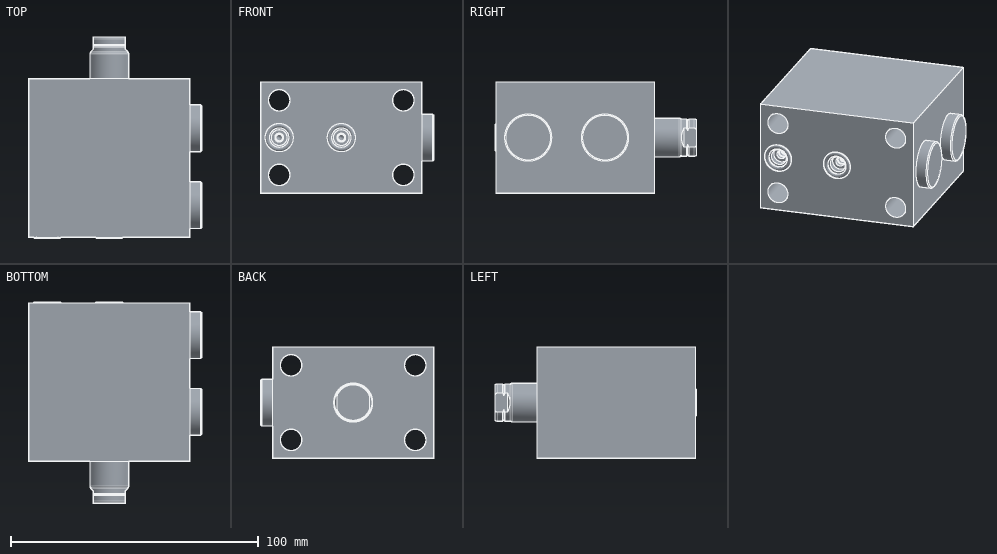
import cadquery as cq
import math

block_width = 65.0
block_depth = 64.0
block_height = 45.0

bolt_hole_diameter = 8.5
bolt_hole_inset = 7.5

port_xs = (bolt_hole_inset, block_width / 2)
seal_seat_radius = 5.7
ring_tube_radius = 0.9
ring_height = 0.4
ring_embedding = 0.1
seal_seat_depth = 2 * ring_tube_radius - ring_height - ring_embedding
counterbore_radius = 3.2
counterbore_depth = 4.2
drill_radii = (1.8, 1.55, 1.3)
drill_step_length = 2.0
drill_point_angle = 118.0

cap_ys = (13.0, 44.0)
cap_radius = 9.5
cap_length = 4.8
cap_chamfer = 0.5

connector_x = block_width / 2
connector_length = 16.9
body_radius = 7.9
body_length = 9.9
neck_radius = 7.6
neck_start = 10.9
tip_length = 1.0
tip_end_radius = 7.15
groove_start = 12.85
groove_end = 13.8
groove_depth = (groove_end - groove_start) / 2
flat_distance = 6.5
flat_start = 11.9
flat_ramp_angle = 45.0


def revolve_along_y(half_section, x, y):
    """Turn an (r, Y) half section, closed along its axis, about a Y-parallel axis through (x, y, 0)."""
    return half_section.close().revolve(360, (0, 0, 0), (0, 1, 0)).translate((x, y, 0))


def make_block():
    block = cq.Workplane("XY").box(block_width, block_depth, block_height, centered=(False, False, True))
    holes = (
        cq.Workplane("XZ")
        .center(block_width / 2, 0)
        .rect(block_width - 2 * bolt_hole_inset, block_height - 2 * bolt_hole_inset, forConstruction=True)
        .vertices()
        .circle(bolt_hole_diameter / 2)
        .extrude(-block_depth)
    )
    return block.cut(holes)


def make_port_cavity(x):
    """Seal seat and counterbore, then ever narrower drillings that each end in a drill point."""
    point_slope = 1 / math.tan(math.radians(drill_point_angle / 2))
    half_section = (
        cq.Workplane("XY")
        .lineTo(seal_seat_radius, 0)
        .lineTo(seal_seat_radius, seal_seat_depth)
        .lineTo(counterbore_radius, seal_seat_depth)
        .lineTo(counterbore_radius, counterbore_depth)
        .lineTo(drill_radii[0], counterbore_depth)
    )
    depth = counterbore_depth
    next_radii = drill_radii[1:] + (0,)
    for radius, next_radius in zip(drill_radii, next_radii):
        depth += drill_step_length
        half_section = half_section.lineTo(radius, depth)
        depth += (radius - next_radius) * point_slope
        half_section = half_section.lineTo(next_radius, depth)
    return revolve_along_y(half_section, x, 0)


def make_seal_ring(x):
    ring = cq.Solid.makeTorus(
        seal_seat_radius - ring_tube_radius,
        ring_tube_radius,
        cq.Vector(x, ring_tube_radius - ring_height, 0),
        cq.Vector(0, 1, 0),
    )
    return cq.Workplane(obj=ring)


def make_cap(y):
    return (
        cq.Workplane("YZ", origin=(block_width, y, 0))
        .circle(cap_radius)
        .extrude(cap_length)
        .faces(">X")
        .chamfer(cap_chamfer)
    )


def make_connector():
    """Round body that blends into a slimmer neck with a V groove, a rounded tip and two wrench flats."""
    shoulder_middle = ((body_radius + neck_radius) / 2, (body_length + neck_start) / 2)
    half_section = (
        cq.Workplane("XY")
        .lineTo(body_radius, 0)
        .lineTo(body_radius, body_length)
        .tangentArcPoint(shoulder_middle, relative=False)
        .tangentArcPoint((neck_radius, neck_start), relative=False)
        .lineTo(neck_radius, groove_start)
        .lineTo(neck_radius - groove_depth, (groove_start + groove_end) / 2)
        .lineTo(neck_radius, groove_end)
        .lineTo(neck_radius, connector_length - tip_length)
        .tangentArcPoint((tip_end_radius, connector_length), relative=False)
        .lineTo(0, connector_length)
    )
    connector = revolve_along_y(half_section, connector_x, block_depth)
    ramp_run = (body_radius - flat_distance) / math.tan(math.radians(flat_ramp_angle))
    for side in (-1, 1):
        flat_cut = (
            cq.Workplane("XY")
            .polyline(
                [
                    (side * flat_distance, connector_length),
                    (side * flat_distance, flat_start),
                    (side * body_radius, flat_start - ramp_run),
                    (side * body_radius, connector_length),
                ]
            )
            .close()
            .extrude(body_radius, both=True)
            .translate((connector_x, block_depth, 0))
        )
        connector = connector.cut(flat_cut)
    return connector


result = make_block()
for port_x in port_xs:
    result = result.cut(make_port_cavity(port_x))
    result = result.union(make_seal_ring(port_x))
for cap_y in cap_ys:
    result = result.union(make_cap(cap_y))
result = result.union(make_connector())